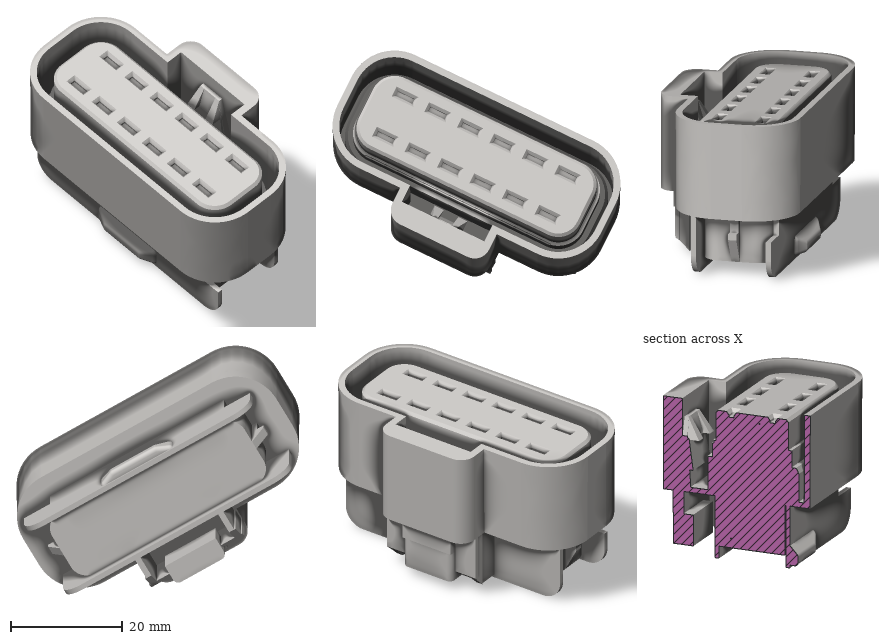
import cadquery as cq
import math


shroud_length = 52.85
shroud_width = 23.0
shroud_height = 17.65
shroud_corner = 8.6
shroud_wall = 1.2
shroud_draft = 0.3
floor_thickness = 1.05
cavity_depth = shroud_height - floor_thickness
cavity_width = shroud_width - 2 * shroud_wall

housing_width = 19.35
housing_corner = 2.9
housing_reach = 6.0
housing_back_y = shroud_width / 2 + housing_reach
pocket_width = 16.5
pocket_back_y = 13.65

latch_top = 13.95
latch_top_width = 4.85
latch_top_front_y = 12.9
latch_stages = [
    (11.4, 12.05, floor_thickness),
    (9.3, 11.6, 4.25),
    (6.55, 10.4, 9.95),
]
latch_window_width = 2.9
latch_window_y = 11.7
latch_window_bottom = 9.95

block_length = 44.2
block_width = 14.45
block_corner = 4.3
block_top = 16.35
block_chamfer = 0.55
shoulder_step = 0.65
shoulder_top = 10.55
shoulder_ledge_y = 7.6
shoulder_ledge_length = 37.0
shoulder_ledge_depth = 0.55
seal_top = 7.4
seal_slope_height = 1.05
seal_slope_width = 0.55
seal_base_length = 48.6
seal_base_width = 18.5
seal_corner = 6.6
seal_flat_y = 8.7
seal_flat_length = 36.15

contact_columns = 6
contact_rows = 2
contact_pitch_x = 6.5
contact_pitch_y = 8.15
contact_length = 4.4
contact_width = 2.0
contact_bevel = 0.55
contact_bevel_depth = 0.65
contact_pocket_depth = 0.35

plate_bottom = -11.7
plate_length = 47.0
plate_thickness = 0.95
plate_corner = 3.7
front_plate_y = -7.5
back_plate_y = 6.45
plate_notch_height = 4.45
plate_neck_length = 36.15
core_length = 40.05
core_width = 13.0
core_corner = 3.15
core_depth = 9.4
rib_width = 1.6
rib_neck_x = 21.05
rib_outer_x = 22.4
rib_step_z = -3.7
rib_slope_z = -4.8

catch_base_length = 14.9
catch_nose_length = 9.1
catch_height = 1.6
catch_top = -7.45
catch_nose_top = -9.15
catch_bottom = -11.15
catch_lip = 0.3
catch_root = 0.85
catch_corner = 0.85
catch_fillet = 0.8

guard_bottom = -11.0
guard_back_y = 14.2
guard_plate_y = 13.45
guard_step_y = 11.5
guard_chamfer = 2.7
guard_wall = 1.3
guard_inset = 0.25
guard_step = 0.25
lever_width = 10.55
lever_back_y = 15.7
lever_step_z = -4.1
button_back_y = 15.55
button_bottom = -10.05
button_corner = 1.05


def box(x_min, x_max, y_min, y_max, z_min, z_max):
    size = (x_max - x_min, y_max - y_min, z_max - z_min)
    return cq.Workplane().box(*size, centered=False).translate((x_min, y_min, z_min))


def centred_box(width, y_min, y_max, z_min, z_max):
    return box(-width / 2, width / 2, y_min, y_max, z_min, z_max)


def rounded_outline(length, width, corner, z):
    """A rounded rectangle sketched at height z."""
    outline = cq.Sketch().rect(length, width).vertices().fillet(corner)
    return cq.Workplane().workplane(offset=z).placeSketch(outline)


def side_profile(points, width, x_centre=0.0):
    """A (Y, Z) outline extruded along X about x_centre."""
    return cq.Workplane("YZ", origin=(x_centre, 0, 0)).polyline(points).close().extrude(width / 2, both=True)


def make_shroud():
    shell = rounded_outline(shroud_length, shroud_width, shroud_corner, shroud_height)
    shell = shell.extrude(-shroud_height, taper=shroud_draft)
    housing = centred_box(housing_width, 0, housing_back_y, 0, shroud_height)
    housing = housing.edges("|Z and >Y").fillet(housing_corner)
    cavity_length = shroud_length - 2 * shroud_wall
    cavity_corner = shroud_corner - shroud_wall
    cavity = rounded_outline(cavity_length, cavity_width, cavity_corner, shroud_height)
    cavity = cavity.extrude(-cavity_depth, taper=shroud_draft)
    pocket = centred_box(pocket_width, 0, pocket_back_y, floor_thickness, shroud_height)
    return shell.union(housing).cut(cavity).cut(pocket)


def latch_stage(width, front_y, bottom):
    """A post against the pocket wall that widens and deepens from the latch top downwards."""
    top_depth = pocket_back_y - latch_top_front_y
    bottom_depth = pocket_back_y - front_y
    top_centre = (pocket_back_y + latch_top_front_y) / 2
    centre_shift = (front_y - latch_top_front_y) / 2
    return (
        cq.Workplane(origin=(0, top_centre, latch_top))
        .rect(latch_top_width, top_depth)
        .workplane(offset=bottom - latch_top)
        .center(0, centre_shift)
        .rect(width, bottom_depth)
        .loft()
    )


def make_latch():
    latch = latch_stage(*latch_stages[0])
    for stage in latch_stages[1:]:
        latch = latch.union(latch_stage(*stage))
    window = side_profile(
        [
            (latch_top_front_y, latch_top),
            (latch_window_y, latch_window_bottom),
            (0, latch_window_bottom),
            (0, latch_top),
        ],
        latch_window_width,
    )
    return latch.cut(window)


def make_seal():
    seal = rounded_outline(seal_base_length, seal_base_width, seal_corner, floor_thickness)
    seal = seal.extrude(seal_top - floor_thickness)
    seal = seal.faces(">Z").chamfer(seal_slope_height, seal_slope_width)
    flat = centred_box(seal_flat_length, seal_flat_y, seal_base_width, floor_thickness, seal_top)
    return seal.cut(flat)


def make_block():
    block = rounded_outline(block_length, block_width, block_corner, floor_thickness)
    block = block.extrude(block_top - floor_thickness).faces(">Z").chamfer(block_chamfer)
    shoulder = rounded_outline(
        block_length + 2 * shoulder_step,
        block_width + 2 * shoulder_step,
        block_corner + shoulder_step,
        floor_thickness,
    ).extrude(shoulder_top - floor_thickness)
    ledge_z = shoulder_top - shoulder_ledge_depth
    ledge = centred_box(shoulder_ledge_length, shoulder_ledge_y, block_width, ledge_z, shoulder_top)
    return block.union(shoulder.cut(ledge)).union(make_seal())


def make_contact_openings():
    bevel_angle = math.degrees(math.atan(contact_bevel / contact_bevel_depth))
    centres = cq.Workplane(origin=(0, 0, block_top)).rarray(
        contact_pitch_x, contact_pitch_y, contact_columns, contact_rows
    )
    mouths = centres.rect(contact_length, contact_width).extrude(-contact_bevel_depth, taper=bevel_angle)
    slot_length = contact_length - 2 * contact_bevel
    slot_width = contact_width - 2 * contact_bevel
    pockets = centres.rect(slot_length, slot_width).extrude(-contact_bevel_depth - contact_pocket_depth)
    return mouths.union(pockets)


def make_plate(y_min):
    plate = centred_box(plate_length, y_min, y_min + plate_thickness, plate_bottom, 0)
    return plate.edges("|Y and <Z").fillet(plate_corner)


def make_front_plate():
    plate = make_plate(front_plate_y)
    notch_length = (plate_length - plate_neck_length) / 2
    notch = cq.Workplane().box(notch_length, plate_thickness, plate_notch_height)
    notch_x = (plate_length - notch_length) / 2
    for side in (-1, 1):
        plate = plate.cut(
            notch.translate((side * notch_x, front_plate_y + plate_thickness / 2, -plate_notch_height / 2))
        )
    return plate


def make_core():
    core = rounded_outline(core_length, core_width, core_corner, 0).extrude(-core_depth)
    half_core = core_length / 2
    rib = (
        cq.Workplane("XZ")
        .polyline(
            [
                (0, 0),
                (rib_neck_x, 0),
                (rib_neck_x, rib_step_z),
                (rib_outer_x, rib_step_z),
                (rib_outer_x, rib_slope_z),
                (half_core, -core_depth),
                (0, -core_depth),
            ]
        )
        .close()
        .extrude(rib_width / 2, both=True)
    )
    return core.union(rib).union(rib.mirror("YZ"))


def make_catch():
    root_y = front_plate_y + catch_root
    lip_y = front_plate_y - catch_lip
    nose_y = front_plate_y - catch_height
    half_base = catch_base_length / 2
    half_nose = catch_nose_length / 2
    ramp_slope = (catch_top - catch_nose_top) / catch_height
    root_top = catch_top + catch_root * ramp_slope
    body = (
        cq.Workplane(origin=(0, 0, catch_bottom))
        .polyline(
            [
                (-half_base, root_y),
                (-half_base, lip_y),
                (-half_nose, nose_y),
                (half_nose, nose_y),
                (half_base, lip_y),
                (half_base, root_y),
            ]
        )
        .close()
        .extrude(root_top - catch_bottom)
        .edges("|Z and (not >Y)")
        .fillet(catch_corner)
        .faces("<Z")
        .edges("not >Y")
        .fillet(catch_fillet)
    )
    ramp = side_profile(
        [
            (root_y, root_top),
            (nose_y, catch_nose_top),
            (nose_y, catch_bottom),
            (root_y, catch_bottom),
        ],
        catch_base_length,
    )
    ramp_normal = cq.Vector(0, -ramp_slope, 1)
    ramp_face = cq.selectors.ParallelDirSelector(ramp_normal)
    return body.intersect(ramp).faces(ramp_face).edges("not >Y").fillet(catch_fillet)


def make_guard():
    outline = [
        (back_plate_y, 0),
        (guard_back_y, 0),
        (guard_back_y, guard_bottom + guard_chamfer),
        (guard_back_y - guard_chamfer, guard_bottom),
        (back_plate_y, guard_bottom),
    ]
    guard = side_profile(outline, housing_width).intersect(
        centred_box(housing_width, guard_plate_y, guard_back_y, guard_bottom, 0)
    )
    wall_x = (housing_width - guard_wall) / 2 - guard_inset
    for side in (-1, 1):
        wall = side_profile(outline, guard_wall, side * wall_x)
        recess_x = side * (wall_x + guard_wall / 2)
        recess = centred_box(2 * guard_step, back_plate_y, guard_step_y, guard_bottom, 0)
        guard = guard.union(wall.cut(recess.translate((recess_x, 0, 0))))
    lever = centred_box(lever_width, guard_plate_y, lever_back_y, lever_step_z, 0)
    button = centred_box(lever_width, guard_step_y, button_back_y, button_bottom, lever_step_z)
    button = button.edges("|Z and >Y").fillet(button_corner)
    return guard.union(lever).union(button)


result = (
    make_shroud()
    .union(make_latch())
    .union(make_block())
    .cut(make_contact_openings())
    .union(make_core())
    .union(make_front_plate())
    .union(make_plate(back_plate_y))
    .union(make_catch())
    .union(make_guard())
)